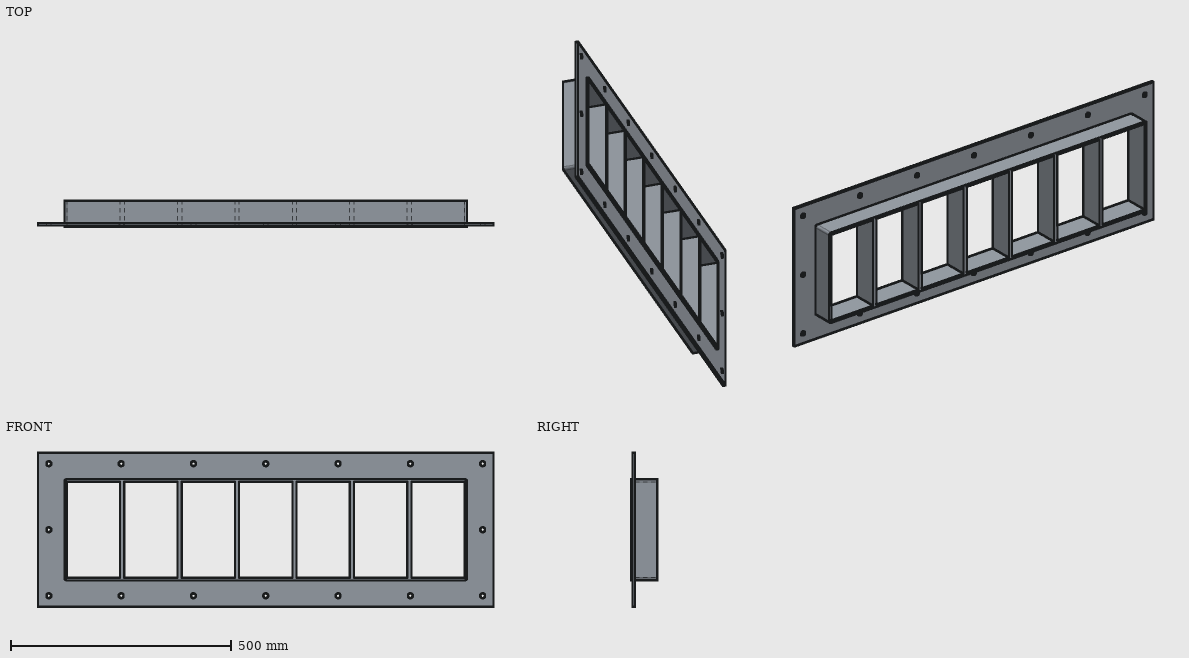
import cadquery as cq

window_count = 7
window_width = 120.5
window_height = 218.0
divider_thickness = 10.0
window_pitch = window_width + divider_thickness

frame_wall = 6.0
frame_depth = 60.0
frame_corner_radius = 6.0
frame_width = window_count * window_pitch - divider_thickness + 2 * frame_wall
frame_height = window_height + 2 * frame_wall

flange_width = 1035.5
flange_height = 350.0
flange_thickness = 6.0
frame_protrusion = 3.0

hole_diameter = 10.5
hole_edge_distance = 25.0
hole_columns = 7
hole_rows = 3
hole_pitch_x = (flange_width - 2 * hole_edge_distance) / (hole_columns - 1)
hole_pitch_z = (flange_height - 2 * hole_edge_distance) / (hole_rows - 1)


def block(width, depth, height, front_y):
    """Box centred on X and Z that extends toward +Y from front_y."""
    return cq.Workplane("XY").box(width, depth, height).translate((0, front_y + depth / 2, 0))


def make_flange():
    """Flat plate with mounting holes all around its rim."""
    plate = block(flange_width, flange_thickness, flange_height, frame_protrusion)
    rim_points = []
    for column in range(hole_columns):
        for row in range(hole_rows):
            if column in (0, hole_columns - 1) or row in (0, hole_rows - 1):
                x = (column - (hole_columns - 1) / 2) * hole_pitch_x
                z = (row - (hole_rows - 1) / 2) * hole_pitch_z
                rim_points.append((x, z))
    holes = cq.Workplane("XZ").pushPoints(rim_points).circle(hole_diameter / 2).extrude(-frame_depth)
    return plate.cut(holes)


def make_frame_body():
    """Solid frame block with rounded corners along Y."""
    body = block(frame_width, frame_depth, frame_height, 0)
    return body.edges("|Y").fillet(frame_corner_radius)


def make_windows():
    """Row of rectangular cutters that leave the frame walls and dividers."""
    centres = []
    for index in range(window_count):
        centres.append(((index - (window_count - 1) / 2) * window_pitch, 0))
    return cq.Workplane("XZ").pushPoints(centres).rect(window_width, window_height).extrude(-frame_depth)


result = make_flange().union(make_frame_body()).cut(make_windows())